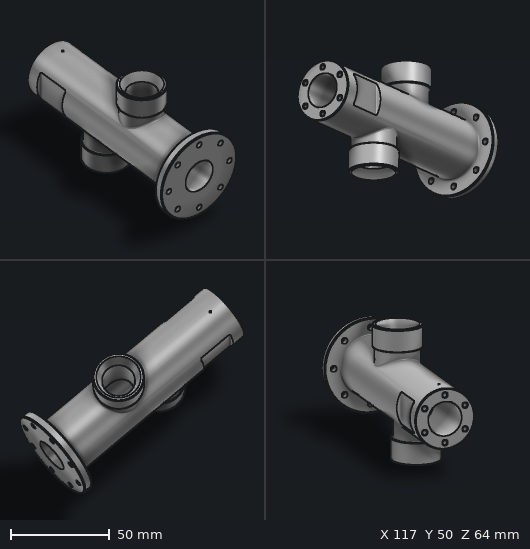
import cadquery as cq
import math

LENGTH = 117.0
TUBE_DIAMETER = 32.0
BORE_DIAMETER = 18.0
EDGE_CHAMFER = 0.5

FLANGE_DIAMETER = 50.0
FLANGE_THICKNESS = 5.0
FLANGE_CHAMFER = 0.6
FLANGE_ROOT_FILLET = 1.0
FLANGE_HOLE_COUNT = 8
FLANGE_HOLE_DIAMETER = 3.2
FLANGE_HOLE_CIRCLE_RADIUS = 20.0

PORT_REACH = 64.0 / 2
UPPER_PORT_X = 71.6
LOWER_PORT_X = 43.6
NECK_DIAMETER = 23.6
COLLAR_DIAMETER = 26.0
COLLAR_LENGTH = 11.9
COLLAR_ROOT_FILLET = 0.5
PORT_ROOT_FILLET = 1.0
PORT_BORE_DIAMETER = 16.7
MOUTH_DIAMETER = 22.6
MOUTH_DEPTH = 5.0

SCREW_HOLE_COUNT = 6
SCREW_HOLE_DIAMETER = 2.5
SCREW_HOLE_MOUTH_DIAMETER = 3.2
SCREW_HOLE_DEPTH = 7.0
SCREW_HOLE_CIRCLE_RADIUS = 12.5
DRILL_TIP_HALF_ANGLE = 59

FLAT_START = 7.8
FLAT_LENGTH = 20.0
FLAT_OFFSET = 13.6
FLAT_CORNER_FILLET = 0.7

MARK_DIAMETER = 1.0
MARK_X = 9.0
MARK_DEPTH = 1.0


def ring_of_points(count, radius, start_angle):
    """(y, z) positions spaced evenly round the tube axis."""
    angles = [math.radians(start_angle + i * 360 / count) for i in range(count)]
    return [(radius * math.cos(a), radius * math.sin(a)) for a in angles]


def tube_with_flange():
    """Revolve the solid tube and flange, with a blended flange root."""
    tube_radius = TUBE_DIAMETER / 2
    flange_radius = FLANGE_DIAMETER / 2
    flange_face = LENGTH - FLANGE_THICKNESS
    blend_start = (flange_face - FLANGE_ROOT_FILLET, tube_radius)
    blend_end = (flange_face, tube_radius + FLANGE_ROOT_FILLET)
    return (
        cq.Workplane("XY")
        .lineTo(0, tube_radius - EDGE_CHAMFER)
        .lineTo(EDGE_CHAMFER, tube_radius)
        .lineTo(*blend_start)
        .radiusArc(blend_end, -FLANGE_ROOT_FILLET)
        .lineTo(flange_face, flange_radius - FLANGE_CHAMFER)
        .lineTo(flange_face + FLANGE_CHAMFER, flange_radius)
        .lineTo(LENGTH - FLANGE_CHAMFER, flange_radius)
        .lineTo(LENGTH, flange_radius - FLANGE_CHAMFER)
        .lineTo(LENGTH, 0)
        .close()
        .revolve(360, (0, 0, 0), (1, 0, 0))
    )


def port_plane(x, direction):
    """Plane through the tube axis whose Y direction points out along the port."""
    return cq.Plane(origin=(x, 0, 0), xDir=(1, 0, 0), normal=(0, -direction, 0))


def revolve_port(outline):
    """Revolve a (radius, height) outline about the port axis."""
    return outline.close().revolve(360, (0, 0, 0), (0, 1, 0))


def neck(x, direction):
    """Plain round neck of a port, from the tube axis to the collar."""
    height = PORT_REACH - COLLAR_LENGTH
    return revolve_port(
        cq.Workplane(port_plane(x, direction))
        .lineTo(NECK_DIAMETER / 2, 0)
        .lineTo(NECK_DIAMETER / 2, height)
        .lineTo(0, height)
    )


def collar(x, direction):
    """Chamfered port collar, with a small fillet under it at the neck."""
    base = PORT_REACH - COLLAR_LENGTH
    neck_radius = NECK_DIAMETER / 2
    collar_radius = COLLAR_DIAMETER / 2
    return revolve_port(
        cq.Workplane(port_plane(x, direction))
        .moveTo(0, base - COLLAR_ROOT_FILLET)
        .lineTo(neck_radius, base - COLLAR_ROOT_FILLET)
        .radiusArc((neck_radius + COLLAR_ROOT_FILLET, base), COLLAR_ROOT_FILLET)
        .lineTo(collar_radius - EDGE_CHAMFER, base)
        .lineTo(collar_radius, base + EDGE_CHAMFER)
        .lineTo(collar_radius, PORT_REACH - EDGE_CHAMFER)
        .lineTo(collar_radius - EDGE_CHAMFER, PORT_REACH)
        .lineTo(0, PORT_REACH)
    )


def port_bore(x, direction):
    """Port bore reaching the main bore, opening into a conical mouth."""
    bore_radius = PORT_BORE_DIAMETER / 2
    return revolve_port(
        cq.Workplane(port_plane(x, direction))
        .lineTo(bore_radius, 0)
        .lineTo(bore_radius, PORT_REACH - MOUTH_DEPTH)
        .lineTo(MOUTH_DIAMETER / 2, PORT_REACH)
        .lineTo(0, PORT_REACH)
    )


def screw_hole(y, z):
    """Chamfered blind hole with a drill-point bottom."""
    radius = SCREW_HOLE_DIAMETER / 2
    mouth_radius = SCREW_HOLE_MOUTH_DIAMETER / 2
    tip = SCREW_HOLE_DEPTH + radius / math.tan(math.radians(DRILL_TIP_HALF_ANGLE))
    return (
        cq.Workplane("XY", origin=(0, y, z))
        .lineTo(0, mouth_radius)
        .lineTo(mouth_radius - radius, radius)
        .lineTo(SCREW_HOLE_DEPTH, radius)
        .lineTo(tip, 0)
        .close()
        .revolve(360, (0, 0, 0), (1, 0, 0))
    )


def wrench_flat(side):
    """Cutter for one flat, rounded where its floor meets the end walls."""
    depth = TUBE_DIAMETER / 2
    return (
        cq.Workplane("XY")
        .box(FLAT_LENGTH, depth, TUBE_DIAMETER)
        .faces(">Y" if side < 0 else "<Y")
        .edges("|Z")
        .fillet(FLAT_CORNER_FILLET)
        .translate((FLAT_START + FLAT_LENGTH / 2, side * (FLAT_OFFSET + depth / 2), 0))
    )


ports = [(UPPER_PORT_X, 1), (LOWER_PORT_X, -1)]
result = tube_with_flange()
for x, direction in ports:
    result = result.union(neck(x, direction))
neck_height = PORT_REACH - COLLAR_LENGTH
for x, direction in ports:
    joint_zone = cq.selectors.BoxSelector(
        (x - NECK_DIAMETER, -NECK_DIAMETER, 0),
        (x + NECK_DIAMETER, NECK_DIAMETER, direction * (neck_height - COLLAR_ROOT_FILLET)),
    )
    result = result.edges(joint_zone).edges("not(%LINE or %CIRCLE)").fillet(PORT_ROOT_FILLET)
for x, direction in ports:
    result = result.union(collar(x, direction))

result = result.cut(cq.Workplane("YZ").circle(BORE_DIAMETER / 2).extrude(LENGTH))
for x, direction in ports:
    result = result.cut(port_bore(x, direction))

flange_holes = (
    cq.Workplane("YZ", origin=(LENGTH - FLANGE_THICKNESS, 0, 0))
    .pushPoints(ring_of_points(FLANGE_HOLE_COUNT, FLANGE_HOLE_CIRCLE_RADIUS, 0))
    .circle(FLANGE_HOLE_DIAMETER / 2)
    .extrude(FLANGE_THICKNESS)
)
result = result.cut(flange_holes)

for y, z in ring_of_points(SCREW_HOLE_COUNT, SCREW_HOLE_CIRCLE_RADIUS, 90):
    result = result.cut(screw_hole(y, z))

for side in (-1, 1):
    result = result.cut(wrench_flat(side))

mark = (
    cq.Workplane("XY", origin=(MARK_X, 0, TUBE_DIAMETER / 2 - MARK_DEPTH))
    .circle(MARK_DIAMETER / 2)
    .extrude(2 * MARK_DEPTH)
)
result = result.cut(mark)